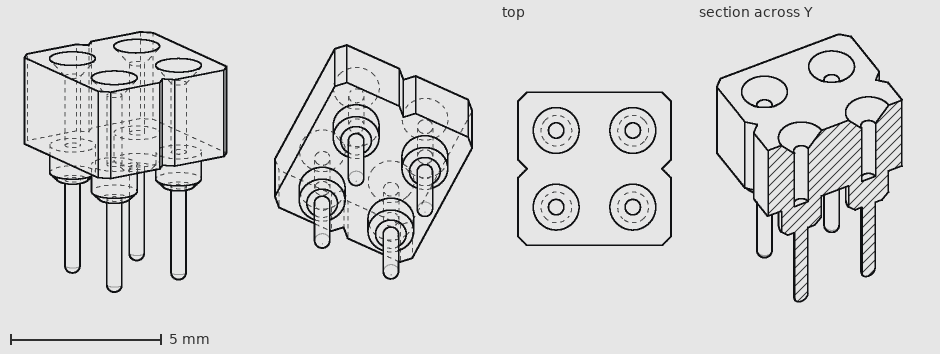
import cadquery as cq

pitch = 2.54
contacts_per_side = 2
housing_side = contacts_per_side * pitch
housing_height = 3.0
corner_chamfer = 0.3
notch_depth = 0.3
notch_half_width = 0.3

overall_height = 7.43
collar_diameter = 1.52
collar_length = 1.2
collar_chamfer = 0.25
pin_diameter = 0.51
tip_radius = 0.25

funnel_diameter = collar_diameter
funnel_depth = 0.6
bore_diameter = pin_diameter
socket_depth = housing_height

pin_length = overall_height - housing_height
first_contact = -(contacts_per_side - 1) / 2 * pitch
contact_offsets = [first_contact + index * pitch for index in range(contacts_per_side)]


def make_notch(side):
    """V-shaped groove over the full height of the -X (side=-1) or +X (side=1) face."""
    face_x = side * housing_side / 2
    outline = [
        (face_x, -notch_half_width),
        (face_x - side * notch_depth, 0),
        (face_x, notch_half_width),
    ]
    return cq.Workplane("XY").polyline(outline).close().extrude(housing_height)


def make_housing():
    """Square block with chamfered vertical edges and a notch in two opposite faces."""
    block = cq.Workplane("XY").box(
        housing_side, housing_side, housing_height, centered=(True, True, False)
    )
    block = block.edges("|Z").chamfer(corner_chamfer)
    for side in (-1, 1):
        block = block.cut(make_notch(side))
    return block


def make_contact():
    """Chamfered collar and slender round-tipped pin, both hanging from Z = 0."""
    collar = cq.Workplane("XY").circle(collar_diameter / 2).extrude(-collar_length)
    collar = collar.faces("<Z").edges().chamfer(collar_chamfer)
    pin = cq.Workplane("XY").circle(pin_diameter / 2).extrude(-pin_length)
    pin = pin.faces("<Z").edges().fillet(tip_radius)
    return collar.union(pin)


def make_socket():
    """Conical lead-in at the housing top, continued by a blind bore down to the collar."""
    top = cq.Workplane("XY", origin=(0, 0, housing_height))
    funnel = (
        top.circle(funnel_diameter / 2)
        .workplane(offset=-funnel_depth)
        .circle(bore_diameter / 2)
        .loft(ruled=True)
    )
    bore = top.circle(bore_diameter / 2).extrude(-socket_depth)
    return funnel.union(bore)


result = make_housing()
contact = make_contact()
socket = make_socket()
for x in contact_offsets:
    for y in contact_offsets:
        result = result.union(contact.translate((x, y, 0)))
        result = result.cut(socket.translate((x, y, 0)))